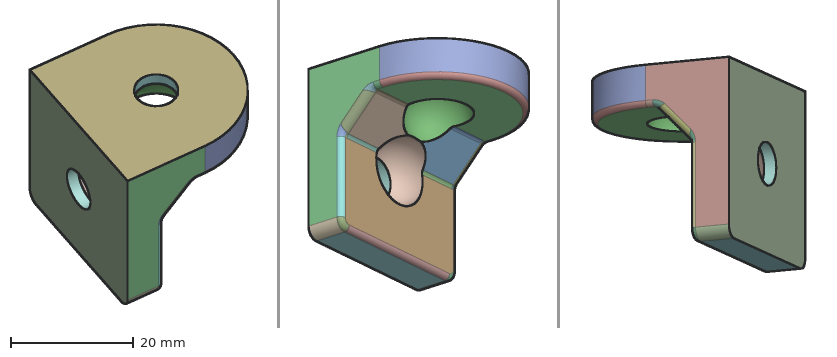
import cadquery as cq
import math

size = 30.0
plate_thickness = 7.0
gusset_leg = 6.35
bottom_corner_radius = 2.0
inner_edge_radius = 1.0
gusset_edge_radius = inner_edge_radius * math.sqrt(2)
hole_diameter = 7.2
socket_radius = 6.0

half = size / 2
wall_back = -half + plate_thickness
plate_bottom = half - plate_thickness


def bracket_body():
    """Front wall and top plate joined by a sloped gusset."""
    profile = [
        (-half, -half),
        (wall_back, -half),
        (wall_back, plate_bottom - gusset_leg),
        (wall_back + gusset_leg, plate_bottom),
        (half, plate_bottom),
        (half, half),
        (-half, half),
    ]
    body = cq.Workplane("YZ").polyline(profile).close().extrude(half, both=True)

    rounded_plan = (
        cq.Workplane("XY", origin=(0, 0, -half))
        .moveTo(-half, -half)
        .lineTo(half, -half)
        .lineTo(half, 0)
        .threePointArc((0, half), (-half, 0))
        .close()
        .extrude(size)
    )
    body = body.intersect(rounded_plan)

    return body.faces("<Z").edges("|Y").fillet(bottom_corner_radius)


def round_inner_rim(body):
    """Round the outline of the inner faces; the two creases at the gusset stay sharp."""
    gusset_middle = (0, wall_back + gusset_leg / 2, plate_bottom - gusset_leg / 2)
    gusset = body.faces(cq.selectors.NearestToPointSelector(gusset_middle))
    gusset_rim = gusset.edges("not |X").vals()
    body = body.newObject(gusset_rim).fillet(gusset_edge_radius)

    wall = body.faces(cq.selectors.NearestToPointSelector((0, wall_back, -half / 2)))
    plate = body.faces(cq.selectors.NearestToPointSelector((0, half / 2, plate_bottom)))
    wall_rim = wall.edges("not(|X and >Z)").vals()
    plate_rim = plate.edges("not(|X and <Y)").vals()
    return body.newObject(wall_rim + plate_rim).fillet(inner_edge_radius)


def hole_cutter():
    """Hole along -Z from the outer face Z = half, opening into a ball socket at the inner face."""
    hole = cq.Workplane("XY").circle(hole_diameter / 2).extrude(half)
    socket = cq.Workplane("XY", origin=(0, 0, plate_bottom)).sphere(socket_radius)
    return hole.union(socket)


plate_hole = hole_cutter()
wall_hole = plate_hole.rotate((0, 0, 0), (1, 0, 0), 90)
result = round_inner_rim(bracket_body()).cut(plate_hole).cut(wall_hole)